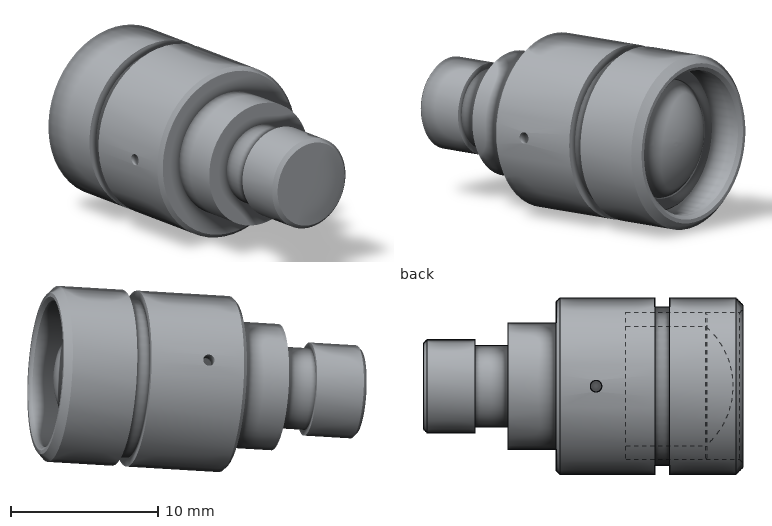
import cadquery as cq

overall_length = 21.73

housing_radius = 6.0
housing_length = 12.71
front_chamfer = 0.5
rear_chamfer = 0.25
groove_start = 5.0
groove_end = 6.0
groove_floor_radius = 5.39
bore_radius = 5.0
bore_chamfer = 0.24
bore_end = 8.0
hole_position = 10.0
hole_radius = 0.4
hole_depth = 1.0

ring_front = 2.45
ring_edge_chamfer = 0.1
ring_opening_radius = 4.06
ring_opening_chamfer = 0.07

dome_height = 1.85
dome_base = ring_front + ring_opening_chamfer
dome_tip = dome_base - dome_height

flange_radius = 4.3
flange_end = 16.0
neck_radius = 2.78
neck_end = 18.2
tip_radius = 3.17
tip_chamfer = 0.25


def disc(radius, start, end):
    """Cylinder about the X axis between two X positions."""
    return cq.Workplane("YZ").workplane(offset=start).circle(radius).extrude(end - start)


def make_housing():
    body = disc(housing_radius, 0, housing_length)
    body = body.faces("<X").chamfer(front_chamfer)
    body = body.faces(">X").chamfer(rear_chamfer)

    body = body.cut(disc(bore_radius, 0, bore_end))
    body = body.faces("<X").edges(cq.selectors.RadiusNthSelector(0)).chamfer(bore_chamfer)

    groove = disc(housing_radius, groove_start, groove_end)
    groove = groove.cut(disc(groove_floor_radius, groove_start, groove_end))
    body = body.cut(groove)

    for side in (-1, 1):
        hole = cq.Solid.makeCylinder(
            hole_radius,
            hole_depth,
            cq.Vector(hole_position, side * housing_radius, 0),
            cq.Vector(0, -side, 0),
        )
        body = body.cut(cq.Workplane(hole))
    return body


def make_retaining_ring():
    ring = disc(bore_radius, ring_front, bore_end).faces("<X").chamfer(ring_edge_chamfer)
    ring = ring.cut(disc(ring_opening_radius, ring_front, bore_end))
    front_edges = ring.faces("<X").edges()
    return front_edges.edges(cq.selectors.RadiusNthSelector(0)).chamfer(ring_opening_chamfer)


def make_lens():
    """Flat-backed lens whose spherical front bulges out of the ring opening."""
    dome_radius = (ring_opening_radius**2 + dome_height**2) / (2 * dome_height)
    arc_middle_x = dome_tip + dome_radius - (
        dome_radius**2 - (ring_opening_radius / 2) ** 2
    ) ** 0.5
    profile = (
        cq.Workplane("XY")
        .moveTo(dome_tip, 0)
        .threePointArc((arc_middle_x, ring_opening_radius / 2), (dome_base, ring_opening_radius))
        .lineTo(bore_end, ring_opening_radius)
        .lineTo(bore_end, 0)
        .close()
    )
    return profile.revolve(360, (0, 0, 0), (1, 0, 0))


def make_connector():
    flange = disc(flange_radius, housing_length, flange_end)
    neck = disc(neck_radius, flange_end, neck_end)
    tip = disc(tip_radius, neck_end, overall_length).faces(">X").chamfer(tip_chamfer)
    return flange.union(neck).union(tip)


housing = make_housing()
retaining_ring = make_retaining_ring()
lens = make_lens()
connector = make_connector()

result = cq.Compound.makeCompound(
    [housing.val(), retaining_ring.val(), lens.val(), connector.val()]
)